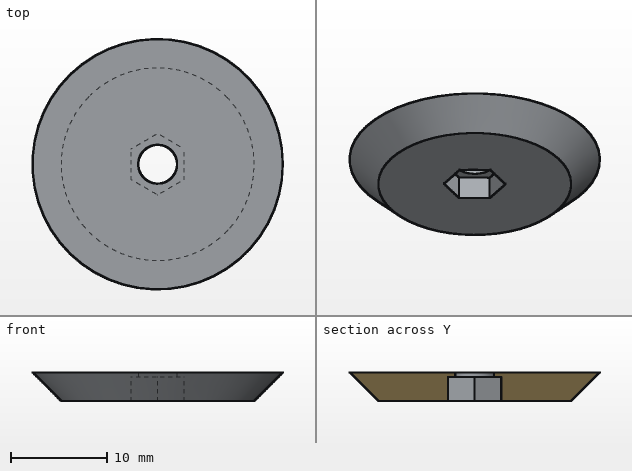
import cadquery as cq
import math

top_diameter = 26.0
thickness = 3.0
hole_diameter = 4.0
hex_across_flats = 5.5
web_thickness = 0.5

top_radius = top_diameter / 2
bottom_radius = top_radius - thickness
pocket_depth = thickness - web_thickness
hex_across_corners = hex_across_flats / math.cos(math.radians(30))


def tapered_disc():
    """Solid disc, widest at its top face."""
    profile = [(0, 0), (bottom_radius, 0), (top_radius, thickness), (0, thickness)]
    return cq.Workplane("XZ").polyline(profile).close().revolve(360, (0, 0), (0, 1))


def center_hole():
    """Round cutter through the full thickness."""
    return cq.Workplane("XY").circle(hole_diameter / 2).extrude(thickness)


def hex_pocket():
    """Hexagonal cutter from the bottom face, with two corners on the Y axis."""
    hexagon = cq.Workplane("XY").polygon(6, hex_across_corners).extrude(pocket_depth)
    return hexagon.rotate((0, 0, 0), (0, 0, 1), 30)


result = tapered_disc().cut(center_hole()).cut(hex_pocket())